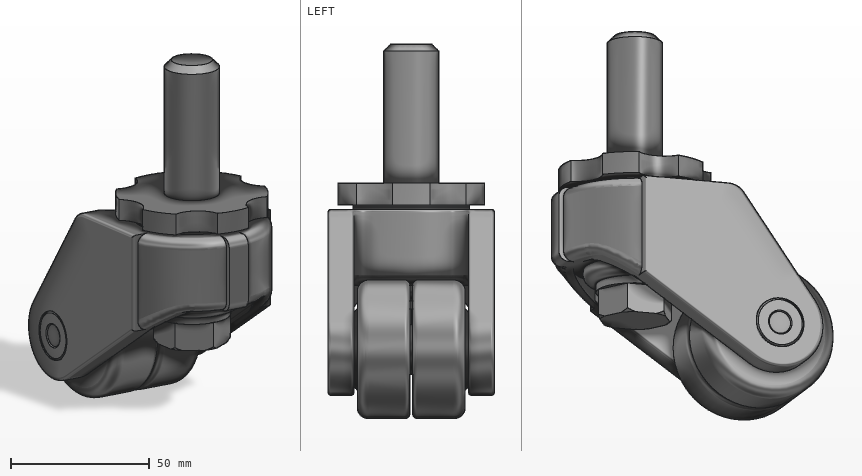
import cadquery as cq
import math


fork_width = 60.0
plate_thickness = 9.5
plate_rear_x = 6.9
plate_edge_round = 1.2
plate_end_radius = 16.6
top_corner_x = -29.4
top_corner_round = 7.4
wall_corner_round = 4.5

hub_radius = 28.9
hub_height = 27.5
hub_edge_round = 3.8
rear_slope_start_x = 19.8
underside_bend_round = 5.4
underside_radius = 22.1
boss_radius = 18.6
boss_height = 5.5
boss_round = 3.8
seat_height = 0.8
tab_tip_x = 30.3
tab_width = 8.2
tab_round = 3.5

wheel_x = -45.0
wheel_z = -50.5
wheel_radius = 25.0
wheel_outer_y = 19.4
wheel_gap = 1.0
wheel_outer_round = 4.0
wheel_inner_round = 1.9
wheel_boss_radius = 14.7
wheel_boss_end_radius = 13.5
sleeve_radius = 9.0
sleeve_chamfer = 0.7

pin_radius = 4.0
pin_sink = 0.4

stem_radius = 10.0
stem_top_z = 59.5
stem_chamfer = 2.5
knob_radius = 27.5
knob_thickness = 7.8
knob_notches = 6
first_notch_angle = 30
notch_floor_radius = 22.9
notch_radius = 9.8
collar_radius = 21.0
collar_height = 0.8
washer_radius = 14.0
washer_height = 2.8
hex_corner_radius = 13.9
hex_height = 10.4
hex_chamfer = 1.2

outer_y = fork_width / 2
inner_y = outer_y - plate_thickness
knob_bottom_z = seat_height + collar_height
boss_bottom_z = -hub_height - boss_height
washer_bottom_z = boss_bottom_z - washer_height
hex_bottom_z = washer_bottom_z - hex_height

beyond = 2 * fork_width

corner_y = inner_y - wall_corner_round
corner_x = -math.sqrt((hub_radius + wall_corner_round) ** 2 - corner_y**2)
hub_share = hub_radius / (hub_radius + wall_corner_round)
touch_x = hub_share * corner_x
touch_y = hub_share * corner_y


def tangent_point(x, z, side):
    """Touching point on the round plate end of a tangent from (x, z); side is +1 or -1."""
    span = math.hypot(x - wheel_x, z - wheel_z)
    angle = math.atan2(z - wheel_z, x - wheel_x) + side * math.acos(plate_end_radius / span)
    return (
        wheel_x + plate_end_radius * math.cos(angle),
        wheel_z + plate_end_radius * math.sin(angle),
    )


front_tangent = tangent_point(top_corner_x, 0, 1)
rear_tangent = tangent_point(rear_slope_start_x, -hub_height, -1)
rear_slope = (-hub_height - rear_tangent[1]) / (rear_slope_start_x - rear_tangent[0])


def rear_slope_z(x):
    """Height of the sloping rear underside at x."""
    return -hub_height - rear_slope * (rear_slope_start_x - x)


def cylinder(radius, bottom_z, height):
    """Upright cylinder on the stem axis."""
    return cq.Workplane("XY", origin=(0, 0, bottom_z)).circle(radius).extrude(height)


def make_plate_block():
    """Full-width block with the side outline of the plates."""
    end_offset = plate_end_radius * math.sqrt(0.5)
    block = (
        cq.Workplane("XZ", origin=(0, outer_y, 0))
        .moveTo(plate_rear_x, 0)
        .lineTo(top_corner_x, 0)
        .lineTo(*front_tangent)
        .threePointArc((wheel_x - end_offset, wheel_z - end_offset), rear_tangent)
        .lineTo(plate_rear_x, rear_slope_z(plate_rear_x))
        .close()
        .extrude(fork_width)
    )
    top_corner = cq.selectors.NearestToPointSelector((top_corner_x, 0, 0))
    block = block.edges(top_corner).fillet(top_corner_round)
    return block.faces("<Y or >Y").edges().fillet(plate_edge_round)


def make_hub_front():
    """Flat-topped block from which the convex front wall of the hub is cut."""
    length = 2 * hub_radius
    return cq.Workplane("XY", origin=(-length / 2, 0, -hub_height / 2)).box(length, 2 * touch_y, hub_height)


def make_wheel_bay():
    """Space between the plates, ending at the round hub with concave corners."""
    middle = (math.pi / 2 + math.atan2(-corner_y, -corner_x)) / 2
    middle_x = corner_x + wall_corner_round * math.cos(middle)
    middle_y = corner_y + wall_corner_round * math.sin(middle)
    return (
        cq.Workplane("XY", origin=(0, 0, -beyond))
        .moveTo(-beyond, inner_y)
        .lineTo(corner_x, inner_y)
        .threePointArc((middle_x, middle_y), (touch_x, touch_y))
        .threePointArc((-hub_radius, 0), (touch_x, -touch_y))
        .threePointArc((middle_x, -middle_y), (corner_x, -inner_y))
        .lineTo(-beyond, -inner_y)
        .close()
        .extrude(2 * beyond)
    )


def make_underside():
    """Space below the hub: as wide as the wheel bay, with a round rear end."""
    arc_x = math.sqrt(underside_radius**2 - inner_y**2)
    return (
        cq.Workplane("XY", origin=(0, 0, -beyond))
        .moveTo(-beyond, inner_y)
        .lineTo(arc_x, inner_y)
        .threePointArc((underside_radius, 0), (arc_x, -inner_y))
        .lineTo(-beyond, -inner_y)
        .close()
        .extrude(beyond - hub_height)
    )


def make_hub_rear():
    """Round rear of the hub, whose underside slopes down to meet the plates."""
    side_outline = (
        cq.Workplane("XZ", origin=(0, outer_y, 0))
        .lineTo(beyond, 0)
        .lineTo(beyond, -hub_height)
        .lineTo(rear_slope_start_x, -hub_height)
        .lineTo(0, rear_slope_z(0))
        .close()
        .extrude(fork_width)
    )
    rear = cylinder(hub_radius, -beyond, 2 * beyond).intersect(side_outline)
    bend = cq.selectors.NearestToPointSelector((rear_slope_start_x, 0, -hub_height))
    rear = rear.edges(bend).fillet(underside_bend_round)
    outer_wall = rear.faces("%CYLINDER").faces(">Z")
    return outer_wall.edges("not |Z").fillet(hub_edge_round)


def make_hub_boss():
    """Round boss under the hub that carries the spindle head."""
    boss = cylinder(boss_radius, boss_bottom_z, boss_height)
    return boss.faces("<Z").edges().fillet(boss_round)


def make_tab():
    """Narrow rounded tab standing out at the rear of the hub."""
    length = tab_tip_x - underside_radius
    middle_x = (tab_tip_x + underside_radius) / 2
    tab = cq.Workplane("XY", origin=(middle_x, 0, -hub_height / 2)).box(length, tab_width, hub_height)
    return tab.faces(">X").edges("|Y").fillet(tab_round)


def round_inner_edges(fork):
    """Round the inner plate edges with the top edge of the hub wall, then its bottom edge."""
    top_edge = cq.selectors.NearestToPointSelector((-hub_radius, 0, 0))
    fork = fork.edges(top_edge).fillet(plate_edge_round)
    bottom_edge = cq.selectors.NearestToPointSelector((-hub_radius, 0, -hub_height))
    return fork.edges(bottom_edge).fillet(hub_edge_round)


def make_fork():
    """Two plates joined by the hub, with bores for the wheel sleeve and the stem."""
    fork = make_plate_block().union(make_hub_front()).cut(make_wheel_bay())
    fork = fork.union(make_hub_rear()).cut(make_underside())
    fork = round_inner_edges(fork)
    stem_seat = cylinder(collar_radius, 0, seat_height)
    fork = fork.union(make_hub_boss()).union(make_tab()).union(stem_seat)
    sleeve_bore = (
        cq.Workplane("XZ", origin=(wheel_x, outer_y, wheel_z)).circle(sleeve_radius).extrude(fork_width)
    )
    stem_bore = cylinder(stem_radius, -beyond, 2 * beyond)
    return fork.cut(sleeve_bore).cut(stem_bore)


def make_knob():
    """Flat round knob with scooped notches around its rim."""
    notches = (
        cq.Workplane("XY", origin=(0, 0, knob_bottom_z))
        .polarArray(notch_floor_radius + notch_radius, first_notch_angle, 360, knob_notches)
        .circle(notch_radius)
        .extrude(knob_thickness)
    )
    return cylinder(knob_radius, knob_bottom_z, knob_thickness).cut(notches)


def make_hex_head():
    """Hexagon at the lower end of the spindle, with its bottom corners chamfered."""
    hexagon = (
        cq.Workplane("XY", origin=(0, 0, hex_bottom_z))
        .polygon(6, 2 * hex_corner_radius)
        .extrude(hex_height)
    )
    chamfered_round = cylinder(hex_corner_radius, hex_bottom_z, hex_height).faces("<Z").chamfer(hex_chamfer)
    return hexagon.intersect(chamfered_round)


def make_spindle():
    """Stem with its knob, collar, washer and hexagon head."""
    stem = cylinder(stem_radius, washer_bottom_z, stem_top_z - washer_bottom_z)
    stem = stem.faces(">Z").chamfer(stem_chamfer)
    collar = cylinder(collar_radius, seat_height, collar_height)
    washer = cylinder(washer_radius, washer_bottom_z, washer_height)
    return stem.union(make_knob()).union(collar).union(washer).union(make_hex_head())


def make_wheel_set():
    """Two wheels in one piece with the sleeve that runs through both plates."""
    inner_face_y = wheel_gap / 2
    half = (
        cq.Workplane("XY")
        .moveTo(pin_radius, 0)
        .lineTo(sleeve_radius, 0)
        .lineTo(sleeve_radius, inner_face_y)
        .lineTo(wheel_radius - wheel_inner_round, inner_face_y)
        .radiusArc((wheel_radius, inner_face_y + wheel_inner_round), -wheel_inner_round)
        .lineTo(wheel_radius, wheel_outer_y - wheel_outer_round)
        .radiusArc((wheel_radius - wheel_outer_round, wheel_outer_y), -wheel_outer_round)
        .lineTo(wheel_boss_radius, wheel_outer_y)
        .lineTo(wheel_boss_end_radius, inner_y)
        .lineTo(sleeve_radius, inner_y)
        .lineTo(sleeve_radius, outer_y - sleeve_chamfer)
        .lineTo(sleeve_radius - sleeve_chamfer, outer_y)
        .lineTo(pin_radius + pin_sink, outer_y)
        .lineTo(pin_radius, outer_y - pin_sink)
        .close()
        .revolve(360, (0, 0, 0), (0, 1, 0))
    )
    return half.union(half.mirror("XZ")).translate((wheel_x, 0, wheel_z))


def make_axle_pin():
    """Plain pin through the sleeve, slightly sunk at both ends."""
    length = fork_width - 2 * pin_sink
    return cq.Workplane("XZ", origin=(wheel_x, length / 2, wheel_z)).circle(pin_radius).extrude(length)


fork = make_fork().solids()
spindle = make_spindle().solids()
wheel_set = make_wheel_set().solids()
axle_pin = make_axle_pin().solids()

result = cq.Compound.makeCompound([fork.val(), spindle.val(), wheel_set.val(), axle_pin.val()])